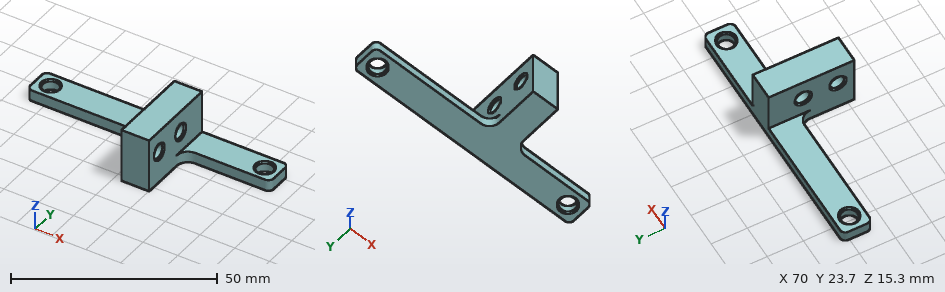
import cadquery as cq

arm_length = 70.0
arm_width = 8.2
arm_thickness = 3.2
arm_corner_radius = 1.5

block_left = 37.2
block_thickness = 8.0
block_depth = 23.7
block_height = 15.3
block_right = block_left + block_thickness
root_fillet_radius = 3.2

arm_hole_diameter = 4.55
arm_hole_inset = 4.2
arm_hole_chamfer = 0.4

block_hole_diameter = 3.9
block_hole_pitch = 9.6
block_hole_height = 9.1
block_hole_chamfer = 0.4


def chamfered_hole_cutter(plane, diameter, depth, chamfer):
    """Cylinder along the plane normal, flared by a chamfer at both ends."""
    radius = diameter / 2
    mouth_radius = radius + chamfer
    profile = (
        cq.Workplane("XZ")
        .moveTo(0, 0)
        .lineTo(mouth_radius, 0)
        .lineTo(radius, chamfer)
        .lineTo(radius, depth - chamfer)
        .lineTo(mouth_radius, depth)
        .lineTo(0, depth)
        .close()
    )
    cutter = profile.revolve(360, (0, 0, 0), (0, 1, 0)).val()
    return cutter.moved(cq.Location(plane))


def root_fillet(block_side_x, direction):
    """Concave web between the arm's front edge and one side of the block."""
    front_y = -arm_width
    web = cq.Workplane("XY").box(
        root_fillet_radius, root_fillet_radius, arm_thickness, centered=False
    )
    web = web.translate((min(0, direction * root_fillet_radius), -root_fillet_radius, 0))
    round_cut = (
        cq.Workplane("XY")
        .center(direction * root_fillet_radius, -root_fillet_radius)
        .circle(root_fillet_radius)
        .extrude(arm_thickness)
    )
    return web.cut(round_cut).translate((block_side_x, front_y, 0))


arm = (
    cq.Workplane("XY")
    .box(arm_length, arm_width, arm_thickness, centered=False)
    .translate((0, -arm_width, 0))
    .edges("|Z")
    .fillet(arm_corner_radius)
)
block = (
    cq.Workplane("XY")
    .box(block_thickness, block_depth, block_height, centered=False)
    .translate((block_left, -block_depth, 0))
)
result = arm.union(block)
for side_x, direction in ((block_left, -1), (block_right, 1)):
    result = result.union(root_fillet(side_x, direction))

for hole_x in (arm_hole_inset, arm_length - arm_hole_inset):
    arm_hole_plane = cq.Plane((hole_x, -arm_width / 2, 0), (1, 0, 0), (0, 0, 1))
    result = result.cut(
        chamfered_hole_cutter(arm_hole_plane, arm_hole_diameter, arm_thickness, arm_hole_chamfer)
    )

for hole_number in (1, 2):
    block_hole_plane = cq.Plane(
        (block_left, -hole_number * block_hole_pitch, block_hole_height), (0, 1, 0), (1, 0, 0)
    )
    result = result.cut(
        chamfered_hole_cutter(
            block_hole_plane, block_hole_diameter, block_thickness, block_hole_chamfer
        )
    )